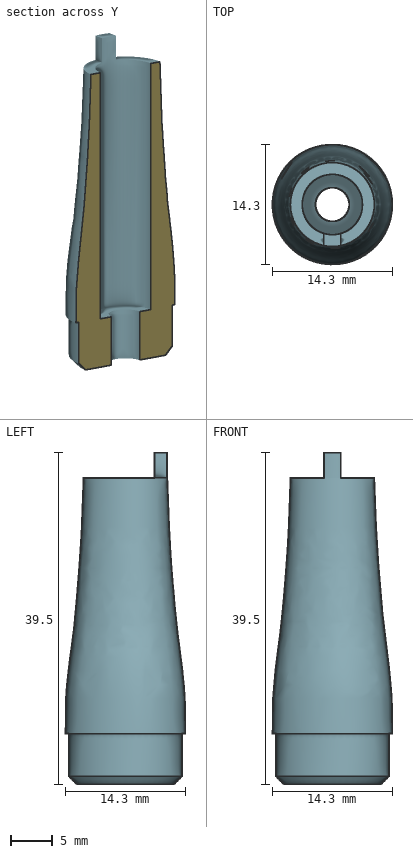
import cadquery as cq

total_height = 39.5
key_height = 3.0
body_top = total_height - key_height

spigot_diameter = 13.5
spigot_height = 6.05
spigot_chamfer = 1.0

skirt_diameter = 14.3
skirt_top_diameter = 14.22
skirt_top = 9.88
waist_diameter = 12.55
waist_height = 17.6
neck_diameter = 11.05
neck_height = 25.68
top_diameter = 10.0
rim_slope = 0.03

through_diameter = 4.0
bore_diameter = 7.2
bore_floor = spigot_height

key_width = 2.0


def make_body():
    """Revolve the solid outer profile about Z."""
    spigot_radius = spigot_diameter / 2
    skirt_radius = skirt_diameter / 2
    top_radius = top_diameter / 2
    neck_radius = neck_diameter / 2
    skirt_top_radius = skirt_top_diameter / 2
    skirt_direction = (skirt_top_radius - skirt_radius, skirt_top - spigot_height)
    rim_direction = (-rim_slope, 1)
    return (
        cq.Workplane("XZ")
        .lineTo(spigot_radius - spigot_chamfer, 0)
        .lineTo(spigot_radius, spigot_chamfer)
        .lineTo(spigot_radius, spigot_height)
        .lineTo(skirt_radius, spigot_height)
        .spline(
            [
                (skirt_top_radius, skirt_top),
                (waist_diameter / 2, waist_height),
                (neck_radius, neck_height),
                (top_radius, body_top),
            ],
            tangents=[skirt_direction, rim_direction],
            includeCurrent=True,
        )
        .lineTo(0, body_top)
        .close()
        .revolve(360, (0, 0, 0), (0, 1, 0))
    )


def make_key():
    """Trim a ring standing on the rim to the width of the key."""
    ring = (
        cq.Workplane("XY")
        .workplane(offset=body_top)
        .circle(top_diameter / 2)
        .circle(bore_diameter / 2)
        .extrude(key_height)
    )
    strip = (
        cq.Workplane("XY")
        .workplane(offset=body_top)
        .center(0, -top_diameter / 2)
        .rect(key_width, top_diameter)
        .extrude(key_height)
    )
    return ring.intersect(strip)


through_hole = cq.Workplane("XY").circle(through_diameter / 2).extrude(body_top)
bore = (
    cq.Workplane("XY")
    .workplane(offset=bore_floor)
    .circle(bore_diameter / 2)
    .extrude(body_top - bore_floor)
)

result = make_body().cut(through_hole).cut(bore).union(make_key())